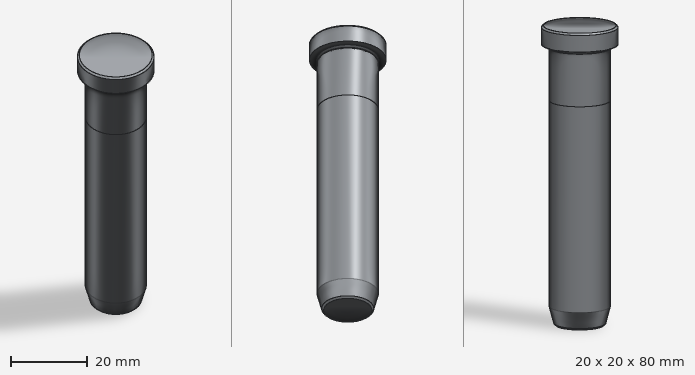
import cadquery as cq
import math

LENGTH = 80.0
HEAD_RADIUS = 10.0
HEAD_HEIGHT = HEAD_RADIUS / 2
HEAD_CHAMFER = 0.5
SHAFT_RADIUS = 8.0
SPLIT_Z = 60.0

GROOVE_HEIGHT = 1.0
GROOVE_RADIUS = 7.6
GROOVE_FLARE_HEIGHT = 0.5
GROOVE_FLARE = 0.5

TAPER_TOP_Z = HEAD_HEIGHT
TAPER_ANGLE = 15.0
TIP_CHAMFER = 0.5


def revolve_profile(profile):
    """Revolve a closed (radius, z) profile about the Z axis."""
    return profile.close().revolve(360, (0, 0, 0), (0, 1, 0))


def make_headed_section():
    head_bottom_z = LENGTH - HEAD_HEIGHT
    return revolve_profile(
        cq.Workplane("XZ")
        .moveTo(0, SPLIT_Z)
        .lineTo(SHAFT_RADIUS, SPLIT_Z)
        .lineTo(SHAFT_RADIUS, head_bottom_z - GROOVE_HEIGHT)
        .lineTo(GROOVE_RADIUS, head_bottom_z - GROOVE_HEIGHT)
        .lineTo(GROOVE_RADIUS, head_bottom_z - GROOVE_FLARE_HEIGHT)
        .lineTo(GROOVE_RADIUS + GROOVE_FLARE, head_bottom_z)
        .lineTo(HEAD_RADIUS, head_bottom_z)
        .lineTo(HEAD_RADIUS, LENGTH - HEAD_CHAMFER)
        .lineTo(HEAD_RADIUS - HEAD_CHAMFER, LENGTH)
        .lineTo(0, LENGTH)
    )


def make_guide_section():
    taper_height = TAPER_TOP_Z - TIP_CHAMFER
    tip_radius = SHAFT_RADIUS - taper_height * math.tan(math.radians(TAPER_ANGLE))
    return revolve_profile(
        cq.Workplane("XZ")
        .moveTo(0, 0)
        .lineTo(tip_radius - TIP_CHAMFER, 0)
        .lineTo(tip_radius, TIP_CHAMFER)
        .lineTo(SHAFT_RADIUS, TAPER_TOP_Z)
        .lineTo(SHAFT_RADIUS, SPLIT_Z)
        .lineTo(0, SPLIT_Z)
    )


headed_section = make_headed_section()
guide_section = make_guide_section()

result = cq.Compound.makeCompound([headed_section.val(), guide_section.val()])